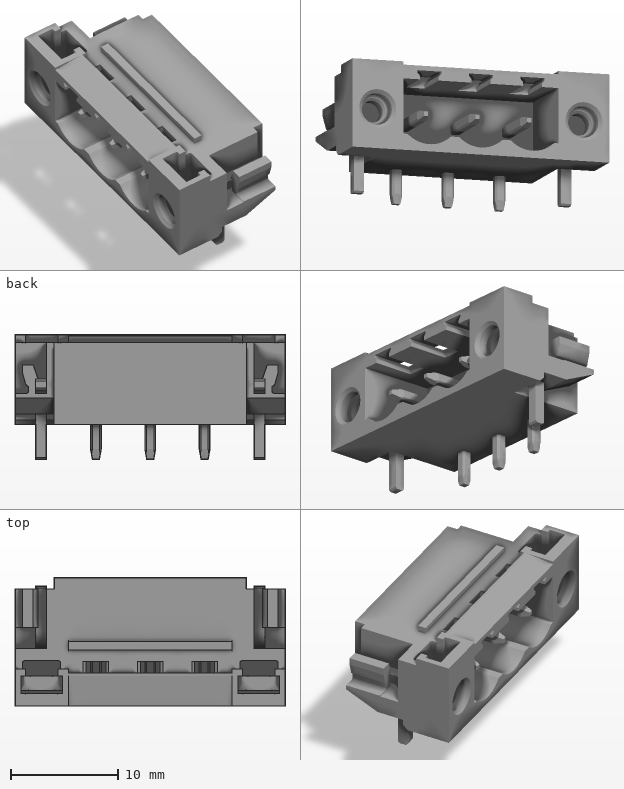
import cadquery as cq


pin_count = 3
pitch = 5.07
pin_xs = [(i - (pin_count - 1) / 2) * pitch for i in range(pin_count)]
flange_x = 2 * pitch
sides = (-1, 1)

housing_width = 25.25
housing_depth = 12.0
front_top = 8.4
rear_top = 7.65
flange_step_y = 3.48
roof_step_y = 3.1
flange_back_y = 5.4
rear_half_width = 8.99
wall_half_width = 9.7
wall_back_y = 10.95

slope_back_y = 2.8
slope_drop = 0.3

cavity_width = pin_count * pitch
cavity_depth = 7.57
cavity_floor = 1.55
cavity_ceiling = 6.8
scallop_radius = 3.08
pin_axis_z = 3.75

slot_top_width = 2.37
slot_neck_width = 1.85
slot_lip_z = 7.45
slot_neck_z = 7.15
slot_depth = 4.16

bar_front_y = 5.22
bar_width = 0.8
bar_top = 8.28
bar_foot_radius = 0.08

screw_z = 3.79
screw_hole_radius = 1.5
screw_rim_radius = 1.82
screw_rim_depth = 0.33
pocket_front_y = 1.15
pocket_rear_width = 3.55
pocket_rear_y = 4.25
pocket_corner_radius = 0.2
neck_width = 3.03
nut_width = 3.85
nut_front_y = 1.46
nut_back_y = slope_back_y
nut_hole_radius = 1.03
nut_rim_radius = 1.25
pocket_floor = screw_z - nut_width / 2

shelf_z = 2.85
latch_shelf_z = 2.93
wing_back_z = 2.47
wing_flat_z = 1.0
wing_flat_y = 7.6
foot_back_y = 4.87
foot_chamfer_y = 4.37
foot_chamfer_z = 0.45
latch_front_y = 7.32
latch_outer_x = 11.95
latch_waist_x = 11.6
latch_root_x = 11.38
latch_crest_x = 10.93
latch_lip_x = 10.47
latch_top = 5.58
latch_face_bottom = 4.87
latch_waist_z = 3.7
latch_root_z = 3.55
latch_root_fillet = 0.18

pin_width = 1.0
pin_edge_chamfer = 0.18
pin_column_y = 9.92
leg_bottom = -3.23
pin_tip_y = 0.98
plug_tip_width = 0.4
plug_tip_length = 1.19
leg_tip_width = 0.65
leg_tip_length = 0.93

anchor_width = 1.0
anchor_front_y = 5.45
anchor_back_y = 11.2
anchor_top = pin_axis_z + anchor_width / 2
anchor_inner_radius = 0.5
anchor_end_chamfer = 0.18


def block(x0, x1, y0, y1, z0, z1):
    """Axis-aligned box between two corners."""
    return cq.Workplane("XY").box(x1 - x0, y1 - y0, z1 - z0, centered=False).translate((x0, y0, z0))


def prism_along_x(points, x0, x1):
    """Extrude a (y, z) outline from x0 to x1."""
    return cq.Workplane("YZ", origin=(min(x0, x1), 0, 0)).polyline(points).close().extrude(abs(x1 - x0))


def prism_along_y(points, y0, y1):
    """Extrude an (x, z) outline from y0 to y1."""
    return cq.Workplane("XZ", origin=(0, y0, 0)).polyline(points).close().extrude(y0 - y1)


def cylinder_along_y(x, z, radius, y0, y1):
    return cq.Workplane("XZ", origin=(x, y0, z)).circle(radius).extrude(y0 - y1)


def cone_along_y(x, z, radius0, radius1, y0, y1):
    solid = cq.Solid.makeCone(radius0, radius1, y1 - y0, cq.Vector(x, y0, z), cq.Vector(0, 1, 0))
    return cq.Workplane(solid)



def housing_shell():
    """Solid block with a raised front, flanges, rear body and a sloped front roof."""
    half = housing_width / 2
    flanges = block(-half, half, 0, flange_back_y, 0, rear_top)
    walls = block(-wall_half_width, wall_half_width, 0, wall_back_y, 0, rear_top)
    rear = block(-rear_half_width, rear_half_width, 0, housing_depth, 0, rear_top)
    raised = block(-half, half, 0, flange_step_y, 0, front_top)
    middle_step = block(-cavity_width / 2, cavity_width / 2, roof_step_y, flange_step_y, rear_top, front_top)
    roof_slope = prism_along_x(
        [(0, front_top - slope_drop), (slope_back_y, front_top), (0, front_top)],
        -cavity_width / 2, cavity_width / 2,
    )
    return flanges.union(walls).union(rear).union(raised).cut(middle_step).cut(roof_slope)


def roof_bar():
    """Long bar on the rear roof, with a small fillet along both of its feet."""
    back_y = bar_front_y + bar_width
    foot_z = rear_top + bar_foot_radius
    return (
        cq.Workplane("YZ", origin=(-cavity_width / 2, 0, 0))
        .moveTo(bar_front_y - bar_foot_radius, rear_top)
        .radiusArc((bar_front_y, foot_z), -bar_foot_radius)
        .lineTo(bar_front_y, bar_top)
        .lineTo(back_y, bar_top)
        .lineTo(back_y, foot_z)
        .radiusArc((back_y + bar_foot_radius, rear_top), -bar_foot_radius)
        .close()
        .extrude(cavity_width)
    )


def mating_cavity():
    """Open cavity with one round trough under each contact."""
    half = cavity_width / 2
    cavity = block(-half, half, 0, cavity_depth, cavity_floor, cavity_ceiling)
    trough_limit = block(-half, half, 0, cavity_depth, 0, cavity_ceiling)
    for x in pin_xs:
        trough = cylinder_along_y(x, pin_axis_z, scallop_radius, 0, cavity_depth)
        cavity = cavity.union(trough.intersect(trough_limit))
    return cavity


def coding_slot(x):
    """T-shaped slot above one contact; it opens through the lower rear roof."""
    top = slot_top_width / 2
    neck = slot_neck_width / 2
    outline = [
        (x - neck, cavity_ceiling), (x - neck, slot_neck_z), (x - top, slot_lip_z), (x - top, rear_top),
        (x + top, rear_top), (x + top, slot_lip_z), (x + neck, slot_neck_z), (x + neck, cavity_ceiling),
    ]
    return prism_along_y(outline, 0, slot_depth)


def screw_hole(side):
    x = side * flange_x
    hole = cylinder_along_y(x, screw_z, screw_hole_radius, 0, pocket_front_y)
    return hole.union(cone_along_y(x, screw_z, screw_rim_radius, screw_hole_radius, 0, screw_rim_depth))


def nut_pocket(side):
    """Pocket open at the top: a wide nut slot, a narrower neck and a rounded rear part."""
    x = side * flange_x

    def section(width, y0, y1):
        return block(x - width / 2, x + width / 2, y0, y1, pocket_floor, front_top)

    rear = section(pocket_rear_width, flange_step_y, pocket_rear_y)
    rear = rear.edges("|Z and >Y").fillet(pocket_corner_radius)
    neck = section(neck_width, nut_back_y, flange_step_y)
    return section(nut_width, pocket_front_y, nut_back_y).union(neck).union(rear)


def wing(side):
    """Shelf beside the rear body, with a sloped underside."""
    outline = [
        (flange_back_y, wing_flat_z), (wing_flat_y, wing_flat_z), (wall_back_y, wing_back_z),
        (wall_back_y, latch_shelf_z), (latch_front_y, latch_shelf_z), (latch_front_y, shelf_z),
        (flange_back_y, shelf_z),
    ]
    return prism_along_x(outline, side * rear_half_width, side * housing_width / 2)


def latch(side):
    """Upright hook on the wing; its lip reaches over the anchor."""
    anchor_x = wall_half_width + anchor_width
    fillet_z = latch_shelf_z + latch_root_fillet
    outline = (
        cq.Workplane("XZ", origin=(0, latch_front_y, 0))
        .moveTo(side * anchor_x, latch_shelf_z)
        .lineTo(side * anchor_x, anchor_top)
        .lineTo(side * latch_lip_x, anchor_top)
        .lineTo(side * latch_crest_x, latch_top)
        .lineTo(side * latch_outer_x, latch_top)
        .lineTo(side * latch_outer_x, latch_face_bottom)
        .lineTo(side * latch_waist_x, latch_waist_z)
        .lineTo(side * latch_root_x, latch_root_z)
        .lineTo(side * latch_root_x, fillet_z)
        .radiusArc((side * (latch_root_x + latch_root_fillet), latch_shelf_z), -side * latch_root_fillet)
        .close()
    )
    return outline.extrude(latch_front_y - wall_back_y)


def wing_undercut(side):
    """Space removed below the wing and behind the foot of the flange."""
    outline = [
        (foot_chamfer_y, 0), (foot_back_y, foot_chamfer_z), (foot_back_y, wing_flat_z),
        (wing_flat_y, wing_flat_z), (wall_back_y, wing_back_z), (housing_depth, wing_back_z),
        (housing_depth, 0),
    ]
    return prism_along_x(outline, side * rear_half_width, side * housing_width / 2)



def tapered_bar(length, tip_width, tip_length):
    """Square bar up the Z axis with chamfered long edges and a tapered tip at the top."""
    bar = cq.Workplane("XY").rect(pin_width, pin_width).extrude(length)
    bar = bar.edges("|Z").chamfer(pin_edge_chamfer)
    shaft_length = length - tip_length
    shaft = cq.Workplane("XY").rect(pin_width, pin_width).extrude(shaft_length)
    tip = (
        cq.Workplane("XY", origin=(0, 0, shaft_length))
        .rect(pin_width, pin_width)
        .workplane(offset=tip_length)
        .rect(tip_width, tip_width)
        .loft()
    )
    return bar.intersect(shaft.union(tip))


def contact_pin(x):
    """Angled contact: a plug end pointing to -Y and a solder leg pointing down."""
    back_y = pin_column_y + pin_width / 2
    top_z = pin_axis_z + pin_width / 2
    plug = tapered_bar(back_y - pin_tip_y, plug_tip_width, plug_tip_length)
    plug = plug.rotate((0, 0, 0), (1, 0, 0), 90).translate((x, back_y, pin_axis_z))
    leg = tapered_bar(top_z - leg_bottom, leg_tip_width, leg_tip_length)
    leg = leg.rotate((0, 0, 0), (1, 0, 0), 180).translate((x, pin_column_y, top_z))
    return plug.union(leg)


def anchor(side):
    """Square bar bent from a solder leg into an arm that points to +Y."""
    inner_y = anchor_front_y + anchor_width
    bend_y = inner_y + anchor_inner_radius
    arm_bottom = anchor_top - anchor_width
    bend_z = arm_bottom - anchor_inner_radius
    outer_radius = anchor_inner_radius + anchor_width
    x0 = min(side * wall_half_width, side * (wall_half_width + anchor_width))
    bar = (
        cq.Workplane("YZ", origin=(x0, 0, 0))
        .moveTo(anchor_front_y, leg_bottom)
        .lineTo(anchor_front_y, bend_z)
        .radiusArc((bend_y, anchor_top), outer_radius)
        .lineTo(anchor_back_y, anchor_top)
        .lineTo(anchor_back_y, arm_bottom)
        .lineTo(bend_y, arm_bottom)
        .radiusArc((inner_y, bend_z), -anchor_inner_radius)
        .lineTo(inner_y, leg_bottom)
        .close()
        .extrude(anchor_width)
    )
    bar = bar.faces("<Z").edges("|X").chamfer(anchor_end_chamfer)
    return bar.faces(">Y").edges("|X").chamfer(anchor_end_chamfer)


def nut(side):
    """Square nut with a chamfered front rim around its hole."""
    x = side * flange_x
    half = nut_width / 2
    rim_end_y = nut_front_y + nut_rim_radius - nut_hole_radius
    body = block(x - half, x + half, nut_front_y, nut_back_y, screw_z - half, screw_z + half)
    body = body.cut(cylinder_along_y(x, screw_z, nut_hole_radius, nut_front_y, nut_back_y))
    return body.cut(cone_along_y(x, screw_z, nut_rim_radius, nut_hole_radius, nut_front_y, rim_end_y))



pins = [contact_pin(x) for x in pin_xs]
anchors = [anchor(side) for side in sides]
nuts = [nut(side) for side in sides]

housing = housing_shell().union(roof_bar()).cut(mating_cavity())
for pin_x in pin_xs:
    housing = housing.cut(coding_slot(pin_x))
for side in sides:
    housing = housing.cut(wing_undercut(side)).union(wing(side)).union(latch(side))
    housing = housing.cut(nut_pocket(side)).cut(screw_hole(side))
for metal_part in pins + anchors:
    housing = housing.cut(metal_part)

result = cq.Compound.makeCompound(
    [housing.val(), *[body.val() for body in pins + anchors + nuts]]
)